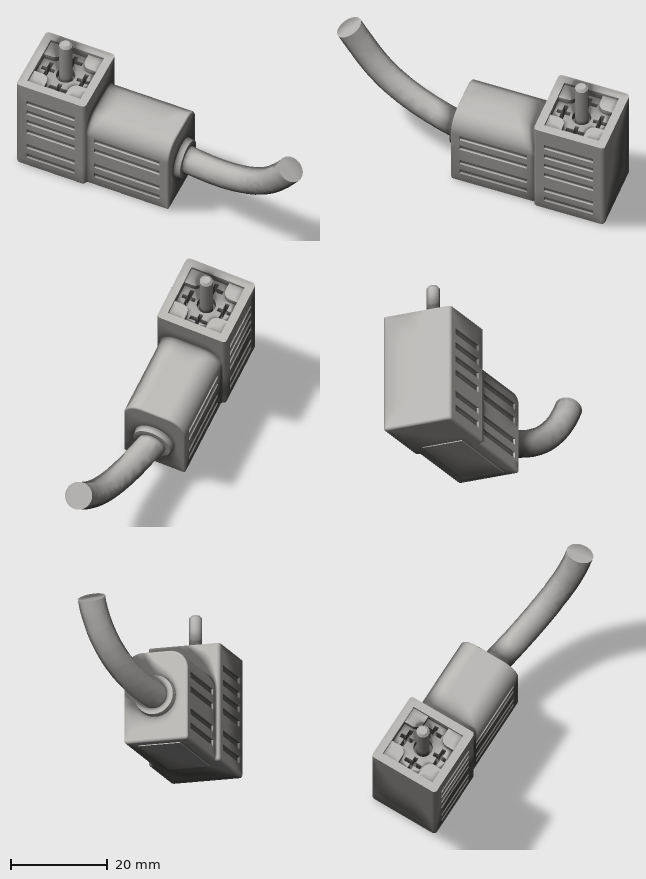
import cadquery as cq
import math


overall_length = 63.4

head_side = 15.6
housing_height = 23.2
head_corner_radius = 0.75
bottom_radius = 0.6
head_face_x = head_side / 2

rear_end_x = 26.3
rear_width = 13.9
rear_height = 19.15
rear_top_radius = 4.0
rear_end_radius = 0.4
joint_radius = 0.4

collar_length = 1.3
collar_root_diameter = 8.75
collar_tip_diameter = 8.3
collar_tip_x = rear_end_x + collar_length

pad_length = 19.8
pad_width = 9.0
pad_height = 0.2
pad_start_x = 4.25

slot_height = 1.3
slot_depth = 0.5
slot_center_heights = [3.3, 6.35, 11.1, 14.1, 17.2, 20.2]
head_slot_length = 10.85
rear_slot_length = 14.8
rear_slot_count = 4
rear_slot_center_x = 16.9

gasket_thickness = 1.9
window_side = 12.05
gasket_top_z = housing_height + gasket_thickness

block_side = 3.55
block_height = 1.25
block_corner_radius = 1.8

contact_offset = 4.0
contact_length = 3.9
contact_width = 2.9
contact_arm = 0.9
contact_depth = 3.2

screw_diameter = 2.7
screw_tip_diameter = 1.7
screw_projection = 8.3
counterbore_diameter = 4.0
counterbore_depth = 1.9
screw_seat_depth = 3.2
screw_bottom_z = housing_height - counterbore_depth - screw_seat_depth
screw_top_z = gasket_top_z + screw_projection

cable_diameter = 5.75
cable_stub = 1.9
cable_middle_x = 46.2
cable_middle_y = -3.9
cable_middle_z = 15.9
cable_end_y = -5.15
cable_end_z = 24.3
cable_start_rise_angle = 4.0
cable_end_rise_angle = 58.0
cable_tip_reach = cable_diameter / 2 * math.sin(math.radians(cable_end_rise_angle))
cable_end_x = overall_length - head_face_x - cable_tip_reach
cable_yaw = math.degrees(math.atan2(cable_end_y, cable_end_x - collar_tip_x))


def centered_box(length, width, height, x, y, bottom_z):
    """Box centred on (x, y) that stands on bottom_z."""
    box = cq.Workplane("XY").box(length, width, height, centered=(True, True, False))
    return box.translate((x, y, bottom_z))


def head_block(height, bottom_z):
    """Square block with rounded vertical corners, as wide as the head."""
    block = centered_box(head_side, head_side, height, 0, 0, bottom_z)
    return block.edges("|Z").fillet(head_corner_radius)


def housing_shell():
    """Head and rear block joined, with the collar and all edge rounds."""
    rear = centered_box(rear_end_x, rear_width, rear_height, rear_end_x / 2, 0, 0)
    rear = rear.edges("|X and >Z").fillet(rear_top_radius)
    shell = head_block(housing_height, 0).union(rear)

    reach = 0.05
    joint_zone = cq.selectors.BoxSelector(
        (head_face_x - reach, -rear_width / 2 - reach, reach),
        (head_face_x + reach, rear_width / 2 + reach, rear_height + reach),
    )
    shell = shell.edges(joint_zone).fillet(joint_radius)
    shell = shell.faces("<Z").edges().fillet(bottom_radius)
    shell = shell.faces(">X").edges().fillet(rear_end_radius)

    collar = (
        cq.Workplane("YZ", origin=(rear_end_x, 0, rear_height / 2))
        .circle(collar_root_diameter / 2)
        .workplane(offset=collar_length)
        .circle(collar_tip_diameter / 2)
        .loft()
    )
    pad = centered_box(pad_length, pad_width, pad_height, pad_start_x + pad_length / 2, 0, -pad_height)
    return shell.union(collar).union(pad)


def grip_slots():
    """Shallow slots in both side walls of the head and of the rear block."""
    slots = cq.Workplane("XY")
    for side in (-1, 1):
        for index, height in enumerate(slot_center_heights):
            bottom_z = height - slot_height / 2
            head_slot = centered_box(
                head_slot_length, 2 * slot_depth, slot_height, 0, side * head_side / 2, bottom_z
            )
            slots = slots.add(head_slot)
            if index < rear_slot_count:
                rear_slot = centered_box(
                    rear_slot_length, 2 * slot_depth, slot_height,
                    rear_slot_center_x, side * rear_width / 2, bottom_z,
                )
                slots = slots.add(rear_slot)
    return slots.combine()


def contact_opening():
    """Cross-shaped pocket on the +X side of the screw, long across the radius."""
    bottom_z = housing_height - contact_depth
    long_arm = centered_box(contact_arm, contact_length, contact_depth, contact_offset, 0, bottom_z)
    short_arm = centered_box(contact_width, contact_arm, contact_depth, contact_offset, 0, bottom_z)
    return long_arm.union(short_arm)


def corner_block():
    """Block in the +X +Y corner of the gasket window, rounded toward the screw."""
    center = (window_side - block_side) / 2
    block = centered_box(block_side, block_side, block_height, center, center, housing_height)
    return block.edges("|Z and <X and <Y").fillet(block_corner_radius)


def make_housing(screw, cable):
    housing = housing_shell().cut(grip_slots())
    counterbore = (
        cq.Workplane("XY", origin=(0, 0, housing_height - counterbore_depth))
        .circle(counterbore_diameter / 2)
        .extrude(counterbore_depth)
    )
    housing = housing.cut(counterbore)
    for quarter in range(4):
        turn = ((0, 0, 0), (0, 0, 1), 90 * quarter)
        housing = housing.cut(contact_opening().rotate(*turn))
        housing = housing.union(corner_block().rotate(*turn))
    return housing.cut(screw).cut(cable)


def make_gasket():
    window = centered_box(window_side, window_side, gasket_thickness, 0, 0, housing_height)
    return head_block(gasket_thickness, housing_height).cut(window)


def make_screw():
    screw = (
        cq.Workplane("XY", origin=(0, 0, screw_bottom_z))
        .circle(screw_diameter / 2)
        .extrude(screw_top_z - screw_bottom_z)
    )
    return screw.faces(">Z").chamfer((screw_diameter - screw_tip_diameter) / 2)


def direction(yaw, rise_angle):
    """Unit vector turned by yaw from +X and raised by rise_angle, both in degrees."""
    level = math.cos(math.radians(rise_angle))
    return cq.Vector(
        level * math.cos(math.radians(yaw)),
        level * math.sin(math.radians(yaw)),
        math.sin(math.radians(rise_angle)),
    )


def make_cable():
    start = cq.Vector(collar_tip_x, 0, rear_height / 2)
    middle = cq.Vector(cable_middle_x, cable_middle_y, cable_middle_z)
    end = cq.Vector(cable_end_x, cable_end_y, cable_end_z)
    start_direction = direction(cable_yaw, cable_start_rise_angle)
    end_direction = direction(0, cable_end_rise_angle)

    stub_start = start - start_direction * cable_stub
    stub = cq.Edge.makeLine(stub_start, start)
    bend = cq.Edge.makeSpline([start, middle, end], tangents=[start_direction, end_direction])
    center_line = cq.Wire.assembleEdges([stub, bend])
    section_plane = cq.Plane(origin=stub_start, normal=start_direction)
    section = cq.Workplane(section_plane).circle(cable_diameter / 2)
    return section.sweep(cq.Workplane(center_line))


screw = make_screw()
cable = make_cable()
gasket = make_gasket()
housing = make_housing(screw, cable)

result = cq.Compound.makeCompound([housing.val(), gasket.val(), screw.val(), cable.val()])